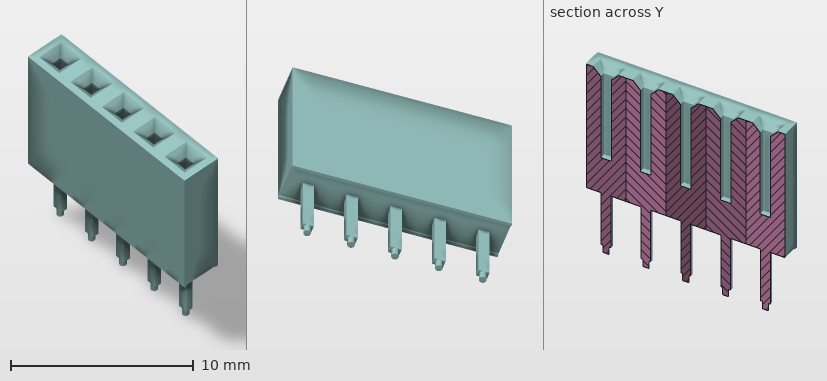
import cadquery as cq

contact_count = 5
row_length = 12.7
pitch = row_length / contact_count

block_depth = 2.5
block_height = 8.5

foot_width = 0.2
foot_height = 0.1

entry_side = 1.64
socket_side = 0.64
entry_depth = (entry_side - socket_side) / 2
socket_depth = 6.0

shank_width = 0.65
shank_thickness = 0.42
shank_length = 3.4
tip_diameter = shank_thickness
tip_length = 0.5


def make_block():
    """Square block standing on its two feet at Z = 0."""
    block = cq.Workplane("XY").box(pitch, block_depth, block_height, centered=(True, True, False))
    channel_width = block_depth - 2 * foot_width
    channel = cq.Workplane("XY").box(pitch, channel_width, foot_height, centered=(True, True, False))
    return block.cut(channel)


def make_socket_cavity():
    """Tapered entry joined to the straight square socket below it."""
    entry = (
        cq.Workplane("XY", origin=(0, 0, block_height))
        .rect(entry_side, entry_side)
        .workplane(offset=-entry_depth)
        .rect(socket_side, socket_side)
        .loft(ruled=True)
    )
    socket = (
        cq.Workplane("XY", origin=(0, 0, block_height - entry_depth))
        .rect(socket_side, socket_side)
        .extrude(entry_depth - socket_depth)
    )
    return entry.union(socket)


def make_pin():
    """Flat shank from the channel ceiling down, with the round tip below it."""
    shank = (
        cq.Workplane("XY", origin=(0, 0, foot_height))
        .rect(shank_width, shank_thickness)
        .extrude(-(foot_height + shank_length))
    )
    tip = (
        cq.Workplane("XY", origin=(0, 0, -shank_length))
        .circle(tip_diameter / 2)
        .extrude(-tip_length)
    )
    return shank.union(tip)


def make_contact(x_center):
    """One contact of the row: block, socket and pin as a single solid."""
    contact = make_block().cut(make_socket_cavity()).union(make_pin())
    return contact.translate((x_center, 0, 0))


contacts = []
for index in range(contact_count):
    x_center = (index - (contact_count - 1) / 2) * pitch
    contacts.append(make_contact(x_center).val())

result = cq.Compound.makeCompound(contacts)